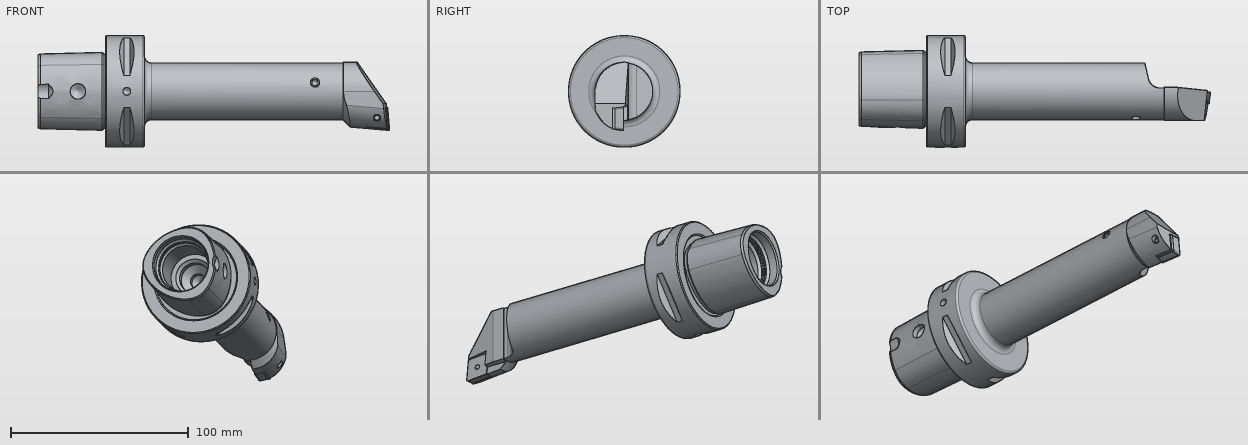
import cadquery as cq
import math

SHANK_LENGTH = 38.0
TOTAL_LENGTH = 198.0
TIP_X = TOTAL_LENGTH - SHANK_LENGTH
TIP_Y = -0.4
TIP_Z = -22.0

SHANK_BIG_RADIUS = 22.0
SHANK_TAPER = 0.025
LOBE = 1.13
LOBE_COUNT = 3
LOBE_HALF_ANGLE = 26
SHANK_END_CHAMFER = (1.4, 0.5)
SHANK_BIG_END_X = -1.8
NECK_START_X = -0.8
NECK_INSET = 1.0

FLANGE_RADIUS = 31.5
FLANGE_WIDTH = 22.0
FLANGE_FRONT_CHAMFER = 0.5
FLANGE_BACK_FILLET = 1.2
FACE_GROOVE_RADIUS = 24.2
FACE_GROOVE_DEPTH = 0.8

BAR_RADIUS = 16.0
BAR_FILLET = 4.0

BORE_MOUTH_RADIUS = 16.2
BORE_ENTRY_RADIUS = 15.6
BORE_ENTRY_CHAMFER = 1.0
BORE_ENTRY_DEPTH = 5.7
THREAD_CREST_RADIUS = 14.3
THREAD_HEIGHT = 0.5
THREAD_PITCH = 1.0
THREAD_TURNS = 4
BORE_MAIN_RADIUS = 13.3
BORE_MAIN_DEPTH = 33.7
SOCKET_MOUTH_RADIUS = 10.5
SOCKET_RADIUS = 8.7
SOCKET_DEPTH = 39.6
COOLANT_RADIUS = 4.4
COOLANT_DEPTH = 47.5

DRILL_TIP_ANGLE = 118
DRILL_LEAD = 2.0
DRIVE_NOTCH_RADIUS = 6.0
DRIVE_NOTCH_FLOOR_Y = -18.2
DRIVE_NOTCH_DEPTH = 6.0
DRIVE_NOTCH_TIP = 8.0
SHANK_HOLE_RADIUS = 4.4
SHANK_HOLE_X = -15.5
SHANK_HOLE_DEPTH = 3.5
FLANGE_HOLE_RADIUS = 2.2
FLANGE_HOLE_DEPTH = 4.0
GRIP_X = 12.0

SLOT_FLOOR_DISTANCE = 27.7
SLOT_FLOOR_WIDTH = 3.4
SLOT_MOUTH_WIDTH = 8.1
SLOT_COUNT = 4

HEAD_START_X = 133.6
HEAD_RADIUS = 16.5
HEAD_SIDE_BOTTOM_Z = -8.0
HEAD_BELLY_RADIUS = 15.8
HEAD_CORNER_X = 137.2
HEAD_BOTTOM_Z = -20.0
APPROACH_ANGLE = 5
RELIEF_ANGLE = 6
BAR_FLAT_Y = 2.0
HEAD_FLAT_Y = 2.4
HEAD_FLAT_END_X = 140.5
RUNOUT_TOP_X = 123.0
RUNOUT_ANGLE = 13
RUNOUT_RADIUS = 6.3
NOSE_TOP = (141.8, 16.5)
NOSE_LOW = (158.2, -7.0)

INSERT_EDGE = 13.3
INSERT_THICKNESS = 4.8
INSERT_NOSE_RADIUS = 0.8
INSERT_CORNER_ANGLE = 80
INSERT_RELIEF_ANGLE = 7
SHIM_THICKNESS = 1.5
PIN_RADIUS = 1.4
PIN_LENGTH = 11.9
PIN_ACCESS_RADIUS = 2.0

PLUG_X = 118.0
PLUG_Z = 5.0
PLUG_RADIUS = 2.5
PLUG_LENGTH = 6.0
PLUG_RECESS = 1.2
PLUG_SOCKET_RADIUS = 1.8
PLUG_SOCKET_DEPTH = 2.4

FAR = 79.2


def revolve_about_x(points):
    """Revolve a profile of (x, radius) points about the X axis."""
    return cq.Workplane("XZ").polyline(points).close().revolve(360, (0, 0), (1, 0))


def drill(radius, depth, start, turn=0, tip=None):
    """Cylinder with a conical tip, pointing along +X and then turned about Z by the given angle.

    Depth is that of the full-diameter part, counted from the start point.
    """
    if tip is None:
        tip = radius / math.tan(math.radians(DRILL_TIP_ANGLE / 2))
    bit = revolve_about_x([(-DRILL_LEAD, 0), (-DRILL_LEAD, radius), (depth, radius), (depth + tip, 0)])
    return bit.rotate((0, 0, 0), (0, 0, 1), turn).translate(start)


def lobed_point(mean_radius, x, angle):
    """Point of the outline where its normal has the given angle from +Y."""
    support = mean_radius + LOBE * math.cos(LOBE_COUNT * angle)
    slope = -LOBE_COUNT * LOBE * math.sin(LOBE_COUNT * angle)
    y = support * math.cos(angle) - slope * math.sin(angle)
    z = support * math.sin(angle) + slope * math.cos(angle)
    return cq.Vector(x, y, z)


def lobed_wire(mean_radius, x):
    """Closed three-lobed outline: a tight and a broad curve in turn, meeting tangentially."""
    steps = 8
    spacing = 360 / LOBE_COUNT
    edges = []
    for lobe in range(LOBE_COUNT):
        middle = spacing * lobe
        stations = [middle - LOBE_HALF_ANGLE, middle + LOBE_HALF_ANGLE, middle + spacing - LOBE_HALF_ANGLE]
        for start, end in zip(stations, stations[1:]):
            angles = [math.radians(start + (end - start) * i / steps) for i in range(steps + 1)]
            points = [lobed_point(mean_radius, x, a) for a in angles]
            tangents = [cq.Vector(0, -math.sin(a), math.cos(a)) for a in (angles[0], angles[-1])]
            edges.append(cq.Edge.makeSpline(points, tangents=tangents))
    return cq.Wire.assembleEdges(edges)


def tapered_radius(x):
    return SHANK_BIG_RADIUS + SHANK_TAPER * (x - SHANK_BIG_END_X)


def make_shank():
    chamfer_length, chamfer_depth = SHANK_END_CHAMFER
    chamfer_end_x = -SHANK_LENGTH + chamfer_length
    neck_radius = SHANK_BIG_RADIUS - NECK_INSET
    sections = [
        (tapered_radius(chamfer_end_x) - chamfer_depth, -SHANK_LENGTH),
        (tapered_radius(chamfer_end_x), chamfer_end_x),
        (SHANK_BIG_RADIUS, SHANK_BIG_END_X),
        (neck_radius, NECK_START_X),
        (neck_radius, FACE_GROOVE_DEPTH),
    ]
    return cq.Workplane(cq.Solid.makeLoft([lobed_wire(r, x) for r, x in sections], True))


def make_bore():
    thread_start = BORE_ENTRY_DEPTH + BORE_ENTRY_RADIUS - THREAD_CREST_RADIUS
    thread_end = thread_start + THREAD_TURNS * THREAD_PITCH
    thread = []
    for turn in range(THREAD_TURNS):
        crest = thread_start + turn * THREAD_PITCH
        thread.append((crest, THREAD_CREST_RADIUS))
        thread.append((crest + THREAD_PITCH / 2, THREAD_CREST_RADIUS + THREAD_HEIGHT))
    depths_and_radii = [
        (0, 0),
        (0, BORE_MOUTH_RADIUS),
        (BORE_ENTRY_CHAMFER, BORE_ENTRY_RADIUS),
        (BORE_ENTRY_DEPTH, BORE_ENTRY_RADIUS),
        *thread,
        (thread_end, THREAD_CREST_RADIUS),
        (thread_end + THREAD_CREST_RADIUS - BORE_MAIN_RADIUS, BORE_MAIN_RADIUS),
        (BORE_MAIN_DEPTH, BORE_MAIN_RADIUS),
        (BORE_MAIN_DEPTH, SOCKET_MOUTH_RADIUS),
        (BORE_MAIN_DEPTH + SOCKET_MOUTH_RADIUS - SOCKET_RADIUS, SOCKET_RADIUS),
        (SOCKET_DEPTH, SOCKET_RADIUS),
        (SOCKET_DEPTH + SOCKET_RADIUS - COOLANT_RADIUS, COOLANT_RADIUS),
        (COOLANT_DEPTH, COOLANT_RADIUS),
        (COOLANT_DEPTH + COOLANT_RADIUS, 0),
    ]
    return revolve_about_x([(depth - SHANK_LENGTH, radius) for depth, radius in depths_and_radii])


def make_flange_and_bar():
    corner_sag = FLANGE_BACK_FILLET * (1 - math.sqrt(0.5))
    fillet_top = BAR_RADIUS + BAR_FILLET
    fillet_end = FLANGE_WIDTH + BAR_FILLET
    sag = BAR_FILLET * math.sqrt(0.5)
    return (
        cq.Workplane("XZ")
        .moveTo(FACE_GROOVE_DEPTH, 0)
        .lineTo(FACE_GROOVE_DEPTH, FACE_GROOVE_RADIUS - FACE_GROOVE_DEPTH)
        .lineTo(0, FACE_GROOVE_RADIUS)
        .lineTo(0, FLANGE_RADIUS - FLANGE_FRONT_CHAMFER)
        .lineTo(FLANGE_FRONT_CHAMFER, FLANGE_RADIUS)
        .lineTo(FLANGE_WIDTH - FLANGE_BACK_FILLET, FLANGE_RADIUS)
        .threePointArc(
            (FLANGE_WIDTH - corner_sag, FLANGE_RADIUS - corner_sag),
            (FLANGE_WIDTH, FLANGE_RADIUS - FLANGE_BACK_FILLET),
        )
        .lineTo(FLANGE_WIDTH, fillet_top)
        .threePointArc((fillet_end - sag, fillet_top - sag), (fillet_end, BAR_RADIUS))
        .lineTo(HEAD_START_X, BAR_RADIUS)
        .lineTo(HEAD_START_X, 0)
        .close()
        .revolve(360, (0, 0), (1, 0))
    )


def make_gripper_slot(angle):
    """Straight trapezoidal slot across the flange rim, its floor facing outward at the given angle."""
    rise = FLANGE_RADIUS - SLOT_FLOOR_DISTANCE
    half_floor = SLOT_FLOOR_WIDTH / 2
    half_mouth = SLOT_MOUTH_WIDTH / 2
    outline = [(-half_floor, 0), (half_floor, 0), (half_mouth, rise), (-half_mouth, rise)]
    slot = (
        cq.Workplane("XZ", origin=(GRIP_X, 0, SLOT_FLOOR_DISTANCE))
        .polyline(outline).close()
        .extrude(FLANGE_RADIUS, both=True)
    )
    return slot.rotate((0, 0, 0), (1, 0, 0), angle)


def make_head():
    cylinder = cq.Workplane("YZ", origin=(HEAD_START_X, 0, 0)).circle(HEAD_RADIUS).extrude(TIP_X - HEAD_START_X)

    lean = math.radians(APPROACH_ANGLE)
    lift = (HEAD_CORNER_X - HEAD_START_X) * math.tan(lean)
    side_z = HEAD_SIDE_BOTTOM_Z + lift
    bottom_z = HEAD_BOTTOM_Z + lift
    belly_z = bottom_z + HEAD_BELLY_RADIUS
    start_angle = math.asin((belly_z - side_z) / HEAD_BELLY_RADIUS)
    belly_y = HEAD_BELLY_RADIUS * math.cos(start_angle) - HEAD_RADIUS
    middle_angle = (start_angle + math.pi / 2) / 2
    middle_y = belly_y - HEAD_BELLY_RADIUS * math.cos(middle_angle)
    middle_z = belly_z - HEAD_BELLY_RADIUS * math.sin(middle_angle)
    plane = cq.Plane(origin=(HEAD_START_X, 0, 0), xDir=(0, 1, 0), normal=(math.cos(lean), 0, -math.sin(lean)))
    lower = (
        cq.Workplane(plane)
        .moveTo(-HEAD_RADIUS, HEAD_RADIUS)
        .lineTo(-HEAD_RADIUS, side_z)
        .threePointArc((middle_y, middle_z), (belly_y, bottom_z))
        .lineTo(belly_y, HEAD_RADIUS)
        .close()
        .extrude(FAR, both=True)
    )
    below_axis = cq.Workplane("XY", origin=(HEAD_START_X, 0, 0)).rect(FAR, FAR).extrude(-FAR)
    lower = lower.intersect(below_axis)

    cone = revolve_about_x([
        (HEAD_START_X, 0),
        (HEAD_START_X, BAR_RADIUS),
        (HEAD_START_X + FAR, BAR_RADIUS + FAR),
        (HEAD_START_X + FAR, 0),
    ])
    return cylinder.union(lower).intersect(cone).intersect(make_nose())


def make_nose():
    """Block bounded by the level flat, the relieved top face, the slanted edge and the end face."""
    relief = math.radians(RELIEF_ANGLE)
    lean = math.tan(math.radians(APPROACH_ANGLE))
    plane = cq.Plane(
        origin=(HEAD_FLAT_END_X, HEAD_FLAT_Y, 0),
        xDir=(math.cos(relief), -math.sin(relief), 0),
        normal=(math.sin(relief), math.cos(relief), 0),
    )
    slant = (NOSE_TOP[0] - NOSE_LOW[0]) / (NOSE_TOP[1] - NOSE_LOW[1])
    outline = [
        (-FAR, -FAR),
        (NOSE_LOW[0] + (NOSE_LOW[1] + FAR) * lean, -FAR),
        NOSE_LOW,
        (NOSE_LOW[0] + slant * (FAR - NOSE_LOW[1]), FAR),
        (-FAR, FAR),
    ]
    local = [(x - HEAD_FLAT_END_X, -z) for x, z in outline]
    relieved = cq.Workplane(plane).polyline(local).close().extrude(-FAR)
    level = cq.Workplane("XY").box(2 * FAR, FAR, 2 * FAR, centered=(True, False, True))
    level = level.translate((HEAD_FLAT_END_X, HEAD_FLAT_Y - FAR, 0))
    return relieved.intersect(level)


def make_runout():
    """Space cleared beside the bar so that the bar runs out into the flat head."""
    slope = math.tan(math.radians(RUNOUT_ANGLE))
    foot_x = RUNOUT_TOP_X + (BAR_RADIUS - BAR_FLAT_Y) * slope
    outline = [
        (foot_x, BAR_FLAT_Y),
        (HEAD_START_X, BAR_FLAT_Y),
        (HEAD_START_X, FAR),
        (foot_x - (FAR - BAR_FLAT_Y) * slope, FAR),
    ]
    block = cq.Workplane("XY").polyline(outline).close().extrude(FAR, both=True)
    return block.edges(cq.selectors.NearestToPointSelector((foot_x, BAR_FLAT_Y, 0))).fillet(RUNOUT_RADIUS)


CORNER = math.radians(INSERT_CORNER_ANGLE)
SEAT_MIDDLE = (INSERT_EDGE * (1 + math.cos(CORNER)) / 2, INSERT_EDGE * math.sin(CORNER) / 2)


def seat_workplane(depth):
    """Plane facing +Y, sunk by depth below the tip; its x runs along the bottom cutting edge.

    Its origin is the sharp corner, which lies beyond the rounded tip by the same amount in X and Z.
    """
    lean = math.radians(APPROACH_ANGLE)
    bisector = lean + CORNER / 2
    beyond = INSERT_NOSE_RADIUS * (math.cos(bisector) / math.sin(CORNER / 2) - 1)
    origin = (TIP_X + beyond, TIP_Y - depth, TIP_Z - beyond)
    return cq.Workplane(cq.Plane(origin=origin, xDir=(-math.cos(lean), 0, math.sin(lean)), normal=(0, 1, 0)))


def rhombus(depth, edge):
    """Rhombus with the insert's corner angle, centred on the seat."""
    half_x = edge * (1 + math.cos(CORNER)) / 2
    half_y = edge * math.sin(CORNER) / 2
    shift = edge * math.cos(CORNER)
    points = [(-half_x, -half_y), (edge - half_x, -half_y), (half_x, half_y), (shift - half_x, half_y)]
    return seat_workplane(depth).center(*SEAT_MIDDLE).polyline(points).close()


def seat_cylinder(radius, depth, length):
    return seat_workplane(depth).center(*SEAT_MIDDLE).circle(radius).extrude(-length)


def make_insert_blank():
    """Relieved rhombus that narrows downward, with sharp corners and no hole."""
    return rhombus(0, INSERT_EDGE).extrude(-INSERT_THICKNESS, taper=INSERT_RELIEF_ANGLE)


def make_insert():
    return make_insert_blank().edges("not #Y").fillet(INSERT_NOSE_RADIUS).cut(make_pin())


def make_shim_blank():
    """Continues the relieved sides of the insert downward."""
    narrowing = INSERT_THICKNESS * math.tan(math.radians(INSERT_RELIEF_ANGLE))
    edge = INSERT_EDGE - 2 * narrowing / math.sin(CORNER)
    return rhombus(INSERT_THICKNESS, edge).extrude(-SHIM_THICKNESS, taper=INSERT_RELIEF_ANGLE)


def make_shim():
    return make_shim_blank().cut(make_pin())


def make_pin():
    return seat_cylinder(PIN_RADIUS, 0, PIN_LENGTH)


def make_seat():
    """Pocket for insert and shim, open upward, with the pin hole and its wider mouth below."""
    above = rhombus(0, INSERT_EDGE).extrude(HEAD_RADIUS)
    pocket = above.union(make_insert_blank()).union(make_shim_blank())
    return pocket.union(make_pin()).union(seat_cylinder(PIN_ACCESS_RADIUS, PIN_LENGTH, HEAD_RADIUS))


PLUG_OUTER_Y = PLUG_RECESS - math.sqrt(BAR_RADIUS ** 2 - PLUG_Z ** 2)


def make_plug():
    outer = (PLUG_X, PLUG_OUTER_Y, PLUG_Z)
    plug = cq.Workplane("XZ", origin=outer).circle(PLUG_RADIUS).extrude(-PLUG_LENGTH)
    return plug.cut(drill(PLUG_SOCKET_RADIUS, PLUG_SOCKET_DEPTH, outer, 90))


def make_plug_hole():
    inner = (PLUG_X, PLUG_OUTER_Y + PLUG_LENGTH, PLUG_Z)
    return cq.Workplane("XZ", origin=inner).circle(PLUG_RADIUS).extrude(BAR_RADIUS)


def make_holder():
    holder = make_flange_and_bar().union(make_shank()).cut(make_runout()).union(make_head())
    holder = holder.cut(make_bore())

    notch_start = (-SHANK_LENGTH, DRIVE_NOTCH_FLOOR_Y - DRIVE_NOTCH_RADIUS, 0)
    holder = holder.cut(drill(DRIVE_NOTCH_RADIUS, DRIVE_NOTCH_DEPTH, notch_start, tip=DRIVE_NOTCH_TIP))
    shank_side = LOBE - tapered_radius(SHANK_HOLE_X)
    holder = holder.cut(drill(SHANK_HOLE_RADIUS, SHANK_HOLE_DEPTH, (SHANK_HOLE_X, shank_side, 0), 90))
    holder = holder.cut(drill(FLANGE_HOLE_RADIUS, FLANGE_HOLE_DEPTH, (GRIP_X, -FLANGE_RADIUS, 0), 90))

    for index in range(SLOT_COUNT):
        holder = holder.cut(make_gripper_slot((index + 0.5) * 360 / SLOT_COUNT))
    return holder.cut(make_seat()).cut(make_plug_hole())


holder = make_holder()
insert = make_insert()
shim = make_shim()
pin = make_pin()
plug = make_plug()

result = cq.Compound.makeCompound([holder.val(), insert.val(), shim.val(), pin.val(), plug.val()])